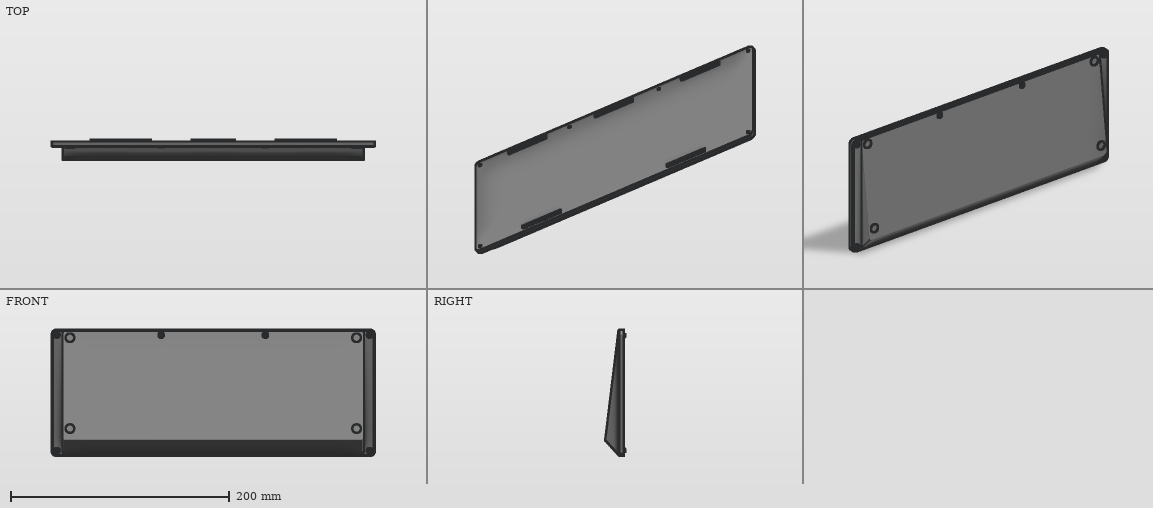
import cadquery as cq
import math

plate_width = 296.2
plate_height = 115.8
plate_thickness = 5.0
corner_radius = 5.0
plate_chamfer = 1.2
plate_chamfer_depth = 1.0

clip_height = 1.5
clip_length = 40.3
clip_thickness = 3.3
clip_chamfer = 1.0
clip_inset = 3.9
upper_clip_x = 92.0
lower_clip_x = 77.0

overall_depth = 18.7
housing_width = 276.0
housing_overlap = plate_thickness / 2
housing_depth = overall_depth - plate_thickness - clip_height
fold_height = 14.5
undercut_side_radius = 2.7
front_edge_radius = 0.5

screw_hole_diameter = 2.5
screw_head_diameter = 5.0
screw_head_depth = 1.0
screw_inset = 5.0
middle_screw_x = 47.7

foot_diameter = 8.0
foot_recess_depth = 0.5
foot_x = 131.2
upper_foot_drop = 7.5
lower_foot_drop = 90.7

top_z = plate_height / 2
bottom_z = -plate_height / 2
fold_z = bottom_z + fold_height
tilt_top_z = top_z - plate_chamfer
tilt_rise = tilt_top_z - fold_z


def make_plate():
    plate = cq.Workplane("XY").box(
        plate_width, plate_thickness, plate_height, centered=(True, False, True)
    )
    plate = plate.edges("|Y").fillet(corner_radius)
    return plate.faces("<Y").edges().chamfer(plate_chamfer, plate_chamfer_depth)


def make_housing():
    """Wedge with a tilted front and an undercut running down to the plate's bottom chamfer."""
    profile = [
        (housing_overlap, tilt_top_z),
        (0, tilt_top_z),
        (-housing_depth, fold_z),
        (0, bottom_z + plate_chamfer),
        (housing_overlap, bottom_z + plate_chamfer),
    ]
    housing = cq.Workplane("YZ").polyline(profile).close().extrude(housing_width / 2, both=True)
    undercut_sides = cq.selectors.ParallelDirSelector(
        cq.Vector(0, housing_depth, plate_chamfer - fold_height)
    )
    housing = housing.edges(undercut_sides).fillet(undercut_side_radius)
    return housing.edges("<Y").fillet(front_edge_radius)


def make_clip(center_x, side):
    """Ridge with a bevelled inner lip; side is +1 near the top edge and -1 near the bottom edge."""
    outer_z = side * (top_z - clip_inset)
    inner_z = outer_z - side * clip_thickness
    tip_y = plate_thickness + clip_height
    profile = [
        (plate_thickness, outer_z),
        (tip_y, outer_z),
        (tip_y, inner_z + side * clip_chamfer),
        (tip_y - clip_chamfer, inner_z),
        (plate_thickness, inner_z),
    ]
    ridge = cq.Workplane("YZ").polyline(profile).close().extrude(clip_length / 2, both=True)
    return ridge.translate((center_x, 0, 0))


def make_cylinder(x, z, diameter, start_y, end_y):
    return (
        cq.Workplane("XZ", origin=(x, start_y, z))
        .circle(diameter / 2)
        .extrude(start_y - end_y)
    )


def cut_screw_hole(body, x, z):
    """Through hole with its head recess open to the front."""
    body = body.cut(make_cylinder(x, z, screw_hole_diameter, -housing_depth, plate_thickness))
    return body.cut(make_cylinder(x, z, screw_head_diameter, -housing_depth, screw_head_depth))


def cut_feet(body):
    """Shallow recesses square to the tilted face, placed by their drop below the plate's top."""
    tilted_face = cq.Plane(
        origin=(0, 0, tilt_top_z), xDir=(1, 0, 0), normal=(0, -tilt_rise, housing_depth)
    )
    slope_per_drop = math.hypot(tilt_rise, housing_depth) / tilt_rise
    centers = [
        (x, (plate_chamfer - drop) * slope_per_drop)
        for x in (-foot_x, foot_x)
        for drop in (upper_foot_drop, lower_foot_drop)
    ]
    recesses = (
        cq.Workplane(tilted_face)
        .pushPoints(centers)
        .circle(foot_diameter / 2)
        .extrude(-foot_recess_depth)
    )
    return body.cut(recesses)


result = make_plate().union(make_housing())

for clip_x in (-upper_clip_x, 0, upper_clip_x):
    result = result.union(make_clip(clip_x, 1))
for clip_x in (-lower_clip_x, lower_clip_x):
    result = result.union(make_clip(clip_x, -1))

corner_screw_x = plate_width / 2 - screw_inset
screw_z = top_z - screw_inset
for screw_x in (-corner_screw_x, -middle_screw_x, middle_screw_x, corner_screw_x):
    result = cut_screw_hole(result, screw_x, screw_z)
for screw_x in (-corner_screw_x, corner_screw_x):
    result = cut_screw_hole(result, screw_x, -screw_z)

result = cut_feet(result)